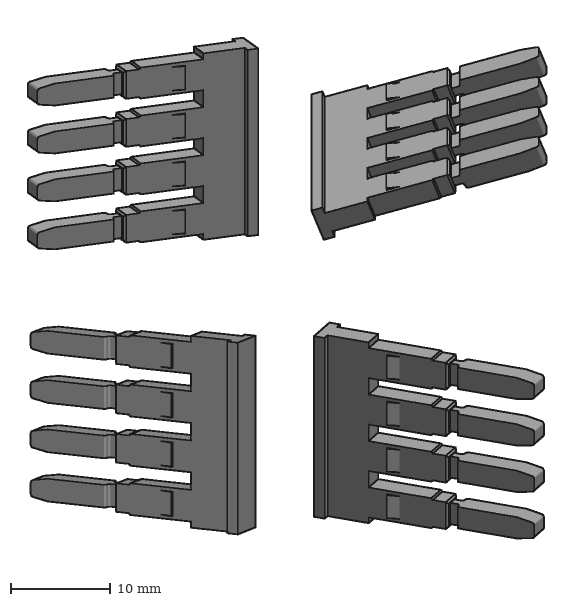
import cadquery as cq
import math

comb_length = 24.0
comb_height = 19.8
pin_count = 4
pin_pitch = 5.1

flange_thickness = 3.9
body_thickness = 2.42
neck_thickness = 1.0
catch_span = 2.93

flange_depth = 1.18
bar_depth = 5.7
catch_start = 7.8
catch_end = 9.1
step_start = 12.62
shoulder_end = 14.42
neck_end = 15.38
taper_start = 22.03

shoulder_height = 3.3
shoulder_step = 0.17
pin_height = 2.35
catch_height = 2.5

shoulder_chamfer_depth = 0.2
shoulder_chamfer_inset = 0.25
taper_angle = math.radians(10)
tip_radius = 0.35
neck_fillet_radius = 0.26


def block(thickness, start, end, height):
    """Block centred on X and Z, between two distances from the back face."""
    return cq.Workplane("XY").box(thickness, end - start, height).translate((0, -(start + end) / 2, 0))


def extruded_up_z(half_outline, height):
    """Solid centred on Z, from (half width along X, distance) points mirrored about X = 0."""
    right_side = [(half_width, -distance) for half_width, distance in half_outline]
    left_side = [(-x, y) for x, y in reversed(right_side)]
    profile = cq.Workplane("XY").polyline(right_side + left_side).close()
    return profile.extrude(height / 2, both=True)


def extruded_across_x(half_outline):
    """Body-thick solid from (half height along Z, distance) points mirrored about Z = 0."""
    upper_side = [(-distance, half_height) for half_height, distance in half_outline]
    lower_side = [(y, -z) for y, z in reversed(upper_side)]
    profile = cq.Workplane("YZ").polyline(upper_side + lower_side).close()
    return profile.extrude(body_thickness / 2, both=True)


def make_shoulder():
    """Stepped root of a pin, with its free end chamfered all round."""
    half_height = shoulder_height / 2
    step_half_height = half_height - shoulder_step
    chamfer_start = shoulder_end - shoulder_chamfer_depth
    shoulder = extruded_across_x([
        (half_height, bar_depth),
        (half_height, step_start),
        (step_half_height, step_start + shoulder_step),
        (step_half_height, chamfer_start),
    ])
    chamfer_taper = math.degrees(math.atan2(shoulder_chamfer_inset, shoulder_chamfer_depth))
    chamfered_end = (
        cq.Workplane("XZ", origin=(0, -chamfer_start, 0))
        .rect(body_thickness, 2 * step_half_height)
        .extrude(shoulder_chamfer_depth, taper=chamfer_taper)
    )
    return shoulder.union(chamfered_end)


def fillet_neck_edges(solid, half_width, distance):
    """Round the pair of upright edges at +/- half_width and the given distance."""
    for x in (-half_width, half_width):
        edge = cq.selectors.NearestToPointSelector((x, -distance, 0))
        solid = solid.edges(edge).fillet(neck_fillet_radius)
    return solid


def make_blade():
    """Tapered contact blade with a thin neck where it leaves the shoulder."""
    half_height = pin_height / 2
    tip_half_height = half_height - (comb_length - taper_start) * math.tan(taper_angle)
    side = extruded_across_x([
        (half_height, shoulder_end),
        (half_height, taper_start),
        (tip_half_height, comb_length),
    ])
    side = side.faces("<Y").edges("|X").fillet(tip_radius)

    neck_half = neck_thickness / 2
    body_half = body_thickness / 2
    neck_outer_end = neck_end + (body_half - neck_half) * math.tan(taper_angle)
    plan = extruded_up_z([
        (neck_half, shoulder_end),
        (neck_half, neck_end),
        (body_half, neck_outer_end),
        (body_half, comb_length),
    ], pin_height)
    plan = fillet_neck_edges(plan, neck_half, neck_end)
    plan = fillet_neck_edges(plan, body_half, neck_outer_end)
    return side.intersect(plan)


def make_catch():
    """Pair of wedges on the shoulder faces, flush at the front and proud at the back."""
    return extruded_up_z([
        (catch_span / 2, catch_start),
        (body_thickness / 2, catch_end),
    ], catch_height)


flange = block(flange_thickness, 0, flange_depth, comb_height)
bar = block(body_thickness, 0, bar_depth, comb_height)
pin = make_shoulder().union(make_blade()).union(make_catch())

result = flange.union(bar)
for index in range(pin_count):
    pin_z = (index - (pin_count - 1) / 2) * pin_pitch
    result = result.union(pin.translate((0, 0, pin_z)))